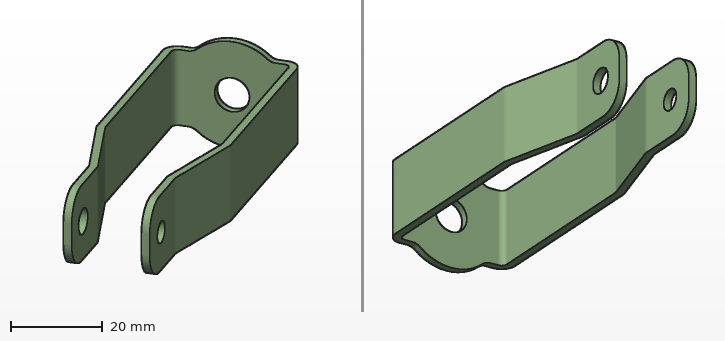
import cadquery as cq
import math

length = 85.4
width = 31.0
strap_height = 18.0
thickness = 2.0
inner_bend_radius = 1.45
outer_bend_radius = inner_bend_radius + thickness

tip_width = 20.0
lower_bend_y = 17.1
upper_bend_y = 37.85
tip_corner_radius = 6.4

plate_diameter = 25.4
plate_blend_radius = 3.0
plate_hole_diameter = 8.0

tip_hole_y = 7.6
left_hole_diameter = 6.0
right_hole_diameter = 5.0


def fork_prism(inset, lower_radius, upper_radius, corner_radius):
    """Solid bounded by the fork's side faces, moved inwards by inset."""
    half_width = width / 2 - inset
    half_tip = tip_width / 2 - inset
    bend_angle = math.atan2((width - tip_width) / 2, upper_bend_y - lower_bend_y)
    miter_shift = inset * math.tan(bend_angle / 2)
    lower_y = lower_bend_y + miter_shift
    upper_y = upper_bend_y + miter_shift
    back_y = length - inset
    right_side = [(half_tip, 0), (half_tip, lower_y), (half_width, upper_y), (half_width, back_y)]
    left_side = [(-x, y) for x, y in reversed(right_side)]
    prism = (
        cq.Workplane("XY")
        .polyline(right_side + left_side)
        .close()
        .extrude(strap_height / 2, both=True)
    )
    radii = (lower_radius, upper_radius, corner_radius)
    for (x, y), radius in zip(right_side[1:], radii):
        for side in (-1, 1):
            edge = cq.selectors.NearestToPointSelector((side * x, y, 0))
            prism = prism.edges("|Z").edges(edge).fillet(radius)
    return prism


def round_tips(fork):
    """Round the upper and lower corners of both arm tips."""
    return fork.faces("<Y").edges("|X").fillet(tip_corner_radius)


def back_plate():
    """Disc above and below the strap, blended into its edges by concave arcs."""
    radius = plate_diameter / 2
    edge_z = strap_height / 2
    blend_z = edge_z + plate_blend_radius
    center_distance = radius + plate_blend_radius
    blend_x = math.sqrt(center_distance**2 - blend_z**2)
    join_x = blend_x * radius / center_distance
    join_z = blend_z * radius / center_distance
    return (
        cq.Workplane("XZ", origin=(0, length, 0))
        .moveTo(-blend_x, edge_z)
        .radiusArc((-join_x, join_z), -plate_blend_radius)
        .threePointArc((0, radius), (join_x, join_z))
        .radiusArc((blend_x, edge_z), -plate_blend_radius)
        .lineTo(blend_x, -edge_z)
        .radiusArc((join_x, -join_z), -plate_blend_radius)
        .threePointArc((0, -radius), (-join_x, -join_z))
        .radiusArc((-blend_x, -edge_z), -plate_blend_radius)
        .close()
        .extrude(thickness)
    )


def tip_hole(diameter, direction):
    """Cutter along X from the middle plane out through one arm."""
    return (
        cq.Workplane("YZ")
        .center(tip_hole_y, 0)
        .circle(diameter / 2)
        .extrude(direction * width / 2)
    )


def plate_hole():
    """Cutter through the middle of the back wall."""
    return (
        cq.Workplane("XZ", origin=(0, length, 0))
        .circle(plate_hole_diameter / 2)
        .extrude(thickness)
    )


outer = fork_prism(0, inner_bend_radius, outer_bend_radius, outer_bend_radius)
opening = fork_prism(thickness, outer_bend_radius, inner_bend_radius, inner_bend_radius)

result = round_tips(outer.cut(opening))
result = result.union(back_plate())
result = result.cut(plate_hole())
result = result.cut(tip_hole(left_hole_diameter, -1))
result = result.cut(tip_hole(right_hole_diameter, 1))